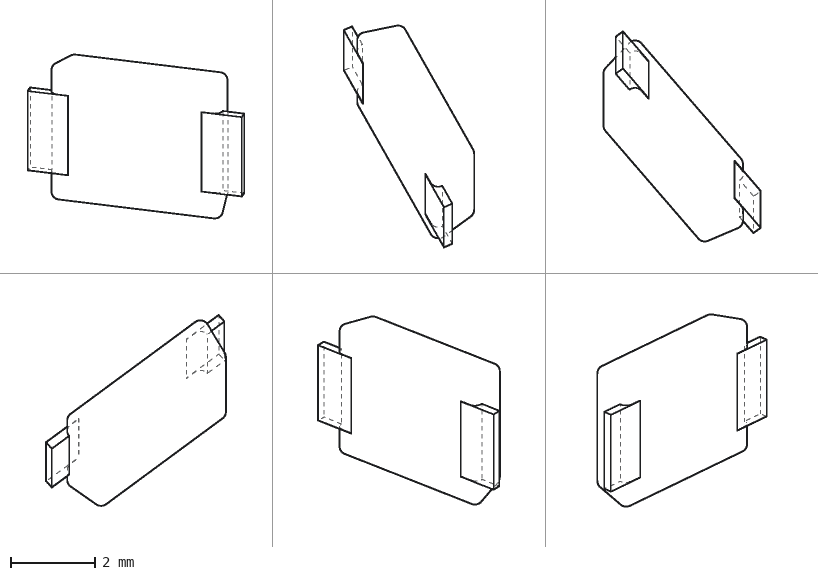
import cadquery as cq
import math

body_length = 4.3
body_width = 3.6
body_depth = 1.2
draft_angle = 9.0
edge_radius = 0.2

overall_length = 5.3
terminal_length = 1.0
terminal_width = 2.06
terminal_thickness = 0.22
standoff = 0.01

back_inset = body_depth * math.tan(math.radians(draft_angle))


def make_body():
    """Tapered block from the seating face to the back face, rounded on every edge."""
    block = (
        cq.Workplane("XZ", origin=(0, standoff, 0))
        .rect(body_length, body_width)
        .workplane(offset=-body_depth)
        .rect(body_length - 2 * back_inset, body_width - 2 * back_inset)
        .loft(ruled=True)
    )
    return block.edges().fillet(edge_radius)


def make_terminal(side):
    """Flat plate at the X end given by side (-1 or +1), partly sunk into the body."""
    center_x = side * (overall_length - terminal_length) / 2
    return cq.Workplane("XY").box(terminal_length, terminal_thickness, terminal_width).translate(
        (center_x, terminal_thickness / 2, 0)
    )


result = make_body()
for side in (-1, 1):
    result = result.union(make_terminal(side))